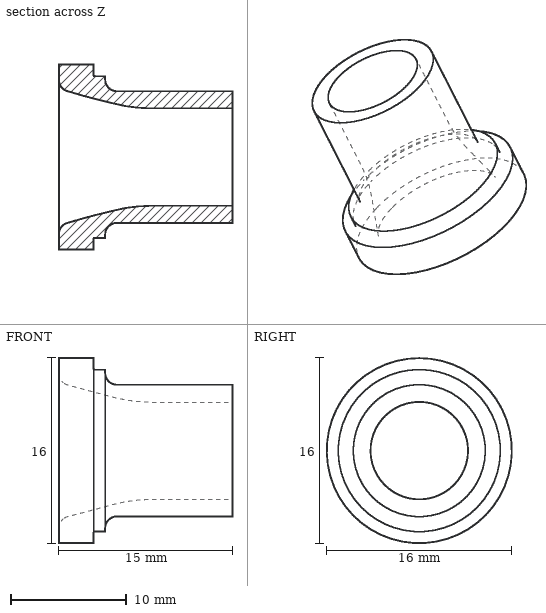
import cadquery as cq
import math

total_length = 15.0
flange_length = 3.0
collar_end_x = 4.0

flange_radius = 16.0 / 2
collar_radius = 14.0 / 2
tube_radius = 11.4 / 2
flange_root_fillet = 0.1
neck_fillet = 1.0

mouth_radius = 13.3 / 2
mouth_rounding = 1.0
funnel_half_angle = math.radians(15.0)
blend_radius = 13.0
outlet_radius = 8.4 / 2

mouth_end_x = mouth_rounding * (1 - math.sin(funnel_half_angle))
mouth_end_radius = mouth_radius - mouth_rounding * math.cos(funnel_half_angle)
funnel_end_radius = outlet_radius + blend_radius * (1 - math.cos(funnel_half_angle))
funnel_end_x = mouth_end_x + (mouth_end_radius - funnel_end_radius) / math.tan(funnel_half_angle)
blend_end_x = funnel_end_x + blend_radius * math.sin(funnel_half_angle)

inward = math.radians(270)
concave_fillet_middle = math.radians(225)
mouth_arc_middle = (math.radians(180) + inward - funnel_half_angle) / 2
blend_arc_middle = inward - funnel_half_angle / 2


def arc_point(center_x, center_radius, arc_radius, direction):
    """Point on a profile arc, as (x, distance from the axis)."""
    return (
        center_x + arc_radius * math.cos(direction),
        center_radius + arc_radius * math.sin(direction),
    )


def concave_fillet(profile, wall_x, floor_radius, fillet):
    """Run down a wall facing +X and round off into the cylinder at its foot."""
    top_radius = floor_radius + fillet
    end_x = wall_x + fillet
    middle = arc_point(end_x, top_radius, fillet, concave_fillet_middle)
    return profile.lineTo(wall_x, top_radius).threePointArc(middle, (end_x, floor_radius))


def revolve_about_x(profile):
    """Close a half profile back to the origin and turn it around the X axis."""
    return profile.lineTo(total_length, 0).close().revolve(360, (0, 0, 0), (1, 0, 0))


def make_body():
    """Flange, collar and tube without the bore."""
    profile = cq.Workplane("XZ").lineTo(0, flange_radius).lineTo(flange_length, flange_radius)
    profile = concave_fillet(profile, flange_length, collar_radius, flange_root_fillet)
    profile = profile.lineTo(collar_end_x, collar_radius)
    profile = concave_fillet(profile, collar_end_x, tube_radius, neck_fillet)
    return revolve_about_x(profile.lineTo(total_length, tube_radius))


def make_bore():
    """Volume that opens the part from the flange mouth to the tube outlet."""
    mouth_middle = arc_point(mouth_rounding, mouth_radius, mouth_rounding, mouth_arc_middle)
    blend_middle = arc_point(blend_end_x, outlet_radius + blend_radius, blend_radius, blend_arc_middle)
    profile = (
        cq.Workplane("XZ")
        .lineTo(0, mouth_radius)
        .threePointArc(mouth_middle, (mouth_end_x, mouth_end_radius))
        .lineTo(funnel_end_x, funnel_end_radius)
        .threePointArc(blend_middle, (blend_end_x, outlet_radius))
        .lineTo(total_length, outlet_radius)
    )
    return revolve_about_x(profile)


result = make_body().cut(make_bore())